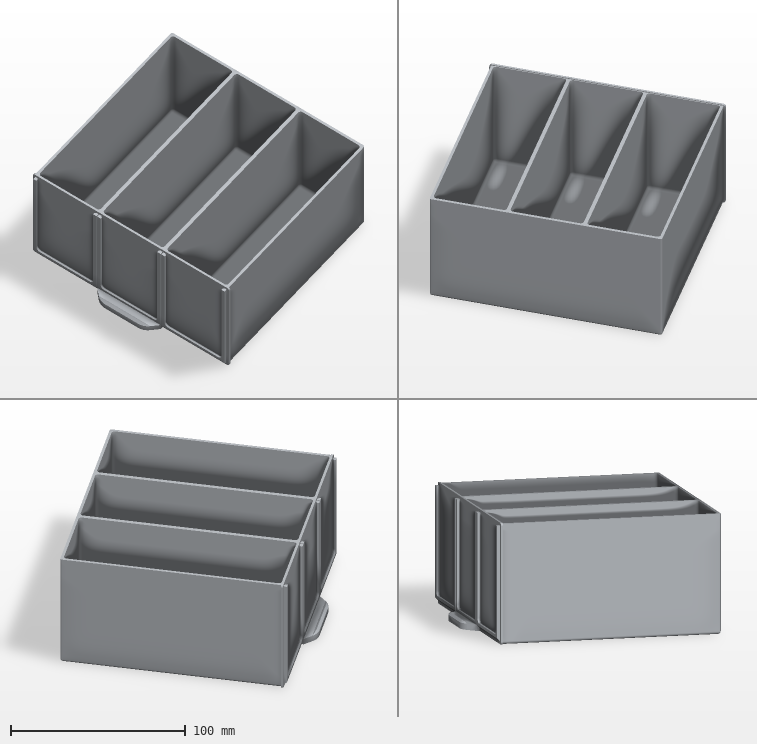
import cadquery as cq
import math

panel_width = 140.6
panel_height = 70.7
panel_thickness = 1.3
overall_depth = 139.8

wall = 1.7
floor_thickness = wall
divider = 2.2
compartment_count = 3
panel_overhang = 1.1
rim_drop = 0.5
outer_radius = 1.7
rear_radius = 1.1
inner_radius = 1.8

holder_depth = 2.0
holder_gap = 0.5
holder_margin = 1.7
window_side = 2.4
window_floor = 5.3
window_radius = 2.5
slot_depth = 0.8

handle_height = 3.7
handle_slope_run = 4.2
handle_radius = 9.5
slope_angle = 45.0
ridge_height = 1.4

tip_arc_reach = handle_radius * (1 - math.cos(math.radians(slope_angle)))
handle_reach = holder_depth + handle_slope_run + tip_arc_reach
box_width = panel_width - 2 * panel_overhang
box_height = panel_height - rim_drop
box_depth = overall_depth - handle_reach
holder_pitch = (panel_width - 2 * holder_margin + holder_gap) / compartment_count
holder_width = holder_pitch - holder_gap
holder_top = panel_height - holder_margin


def spread(pitch):
    """X positions of the compartments, evenly spaced about the centre."""
    middle = (compartment_count - 1) / 2
    return [(i - middle) * pitch for i in range(compartment_count)]


def make_box():
    """Outer block with rounded bottom and rear corners, hollowed into compartments."""
    box = cq.Workplane("XY").box(box_width, box_depth, box_height, centered=(True, False, False))
    box = box.edges("|Z and >Y").fillet(rear_radius)
    box = box.faces("<Z").edges("not(<Y)").fillet(outer_radius)
    inner_width = box_width - 2 * wall
    cell_width = (inner_width - (compartment_count - 1) * divider) / compartment_count
    cell_depth = box_depth - 2 * wall
    cell = (
        cq.Workplane("XY", origin=(0, wall, floor_thickness))
        .box(cell_width, cell_depth, box_height, centered=(True, False, False))
        .edges("|Z or <Z")
        .fillet(inner_radius)
    )
    for x in spread(cell_width + divider):
        box = box.cut(cell.translate((x, 0, 0)))
    return box


def make_panel():
    """Front panel, slightly wider and taller than the box."""
    return (
        cq.Workplane("XY")
        .box(panel_width, panel_thickness, panel_height, centered=(True, False, False))
        .edges("|Y")
        .fillet(outer_radius)
    )


def window_outline(y, grow):
    """U-shaped window outline at depth y, enlarged by grow and open past the holder top."""
    half_width = holder_width / 2 - window_side + grow
    bottom = window_floor - grow
    radius = window_radius + grow
    corner = radius * (1 - math.sqrt(0.5))
    return (
        cq.Workplane("XZ", origin=(0, y, 0))
        .moveTo(-half_width, panel_height)
        .lineTo(-half_width, bottom + radius)
        .threePointArc((-half_width + corner, bottom + corner), (-half_width + radius, bottom))
        .lineTo(half_width - radius, bottom)
        .threePointArc((half_width - corner, bottom + corner), (half_width, bottom + radius))
        .lineTo(half_width, panel_height)
        .close()
    )


def make_holder():
    """Label holder: a U frame with a 45-degree underside and a dovetailed slot behind its lip."""
    frame = (
        cq.Workplane("YZ", origin=(-holder_width / 2, 0, 0))
        .moveTo(0, holder_margin)
        .lineTo(-holder_depth, holder_margin + holder_depth)
        .lineTo(-holder_depth, holder_top)
        .lineTo(0, holder_top)
        .close()
        .extrude(holder_width)
    )
    window = window_outline(0, 0).extrude(holder_depth)
    lip_back = cq.Wire.assembleEdges(window_outline(-slot_depth, 0).val().Edges())
    panel_side = cq.Wire.assembleEdges(window_outline(0, slot_depth).val().Edges())
    slot = cq.Solid.makeLoft([panel_side, lip_back], True)
    return frame.cut(window).cut(cq.Workplane(slot))


def handle_outline(z):
    """Handle outline: straight sides, 45-degree slopes, rounded into a flat tip."""
    half_width = holder_width / 2
    slope_end_x = half_width - handle_slope_run
    slope_end_y = -holder_depth - handle_slope_run
    arc_angle = math.radians(slope_angle)
    tip_x = slope_end_x - handle_radius * math.sin(arc_angle)
    mid_x = tip_x + handle_radius * math.sin(arc_angle / 2)
    mid_y = -handle_reach + handle_radius * (1 - math.cos(arc_angle / 2))
    return (
        cq.Workplane("XY", origin=(0, 0, z))
        .moveTo(-half_width, 0)
        .lineTo(-half_width, -holder_depth)
        .lineTo(-slope_end_x, slope_end_y)
        .threePointArc((-mid_x, mid_y), (-tip_x, -handle_reach))
        .lineTo(tip_x, -handle_reach)
        .threePointArc((mid_x, mid_y), (slope_end_x, slope_end_y))
        .lineTo(half_width, -holder_depth)
        .lineTo(half_width, 0)
        .close()
    )


def make_handle():
    """Flat handle with a finger ridge: straight slope behind, outline-following slope in front."""
    plate = handle_outline(0).extrude(handle_height)
    tapered_top = handle_outline(handle_height).extrude(ridge_height, taper=slope_angle)
    ridge_back = -handle_reach + 2 * ridge_height
    rear_slope = (
        cq.Workplane("YZ", origin=(-holder_width / 2, 0, 0))
        .moveTo(ridge_back, handle_height)
        .lineTo(ridge_back - ridge_height, handle_height + ridge_height)
        .lineTo(-handle_reach, handle_height + ridge_height)
        .lineTo(-handle_reach, handle_height)
        .close()
        .extrude(holder_width)
    )
    return plate.union(tapered_top.intersect(rear_slope))


result = make_box().union(make_panel())
holder = make_holder()
for holder_x in spread(holder_pitch):
    result = result.union(holder.translate((holder_x, 0, 0)))
result = result.union(make_handle())